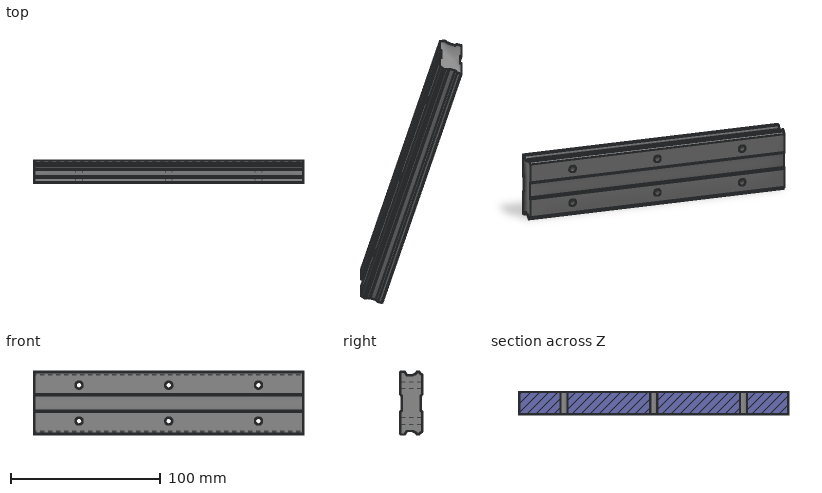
import cadquery as cq

length = 180.0
thickness = 15.0
height = 42.0
front_chamfer = 0.6

groove_depth = 1.0
groove_floor_width = 10.0
groove_mouth_width = groove_floor_width + 2 * groove_depth

relief_height = 2.2
relief_bevel = 0.65
relief_middle_end = 1.75
relief_middle_depth = 0.85
lip_start = 2.25

lip_end = 3.6
lip_bevel_end = 4.0
lip_bevel_depth = 0.5
cove_radius = 1.9
cove_end = 5.8
cove_depth = 1.7

channel_depth = 2.25
channel_floor_start = 6.5
channel_floor_end = 10.4
channel_wall_end = 11.9

hole_diameter = 4.5
hole_pitch = 60.0
holes_per_row = 3
row_spacing = 24.0

back = thickness / 2
top = height / 2
left_end = -length / 2


def section_point(from_back, depth, side):
    """Y-Z point measured from the back and from the upper (side = 1) or lower (side = -1) face."""
    return (back - from_back, side * (top - depth))


def make_bar():
    """Plain bar centred on the origin, with its front long edges chamfered."""
    bar = cq.Workplane("XY").box(length, thickness, height)
    return bar.edges("|X and <Y").chamfer(front_chamfer)


def make_relief(side):
    """Material removed from one long back edge."""
    return (
        cq.Workplane("YZ", origin=(left_end, 0, 0))
        .polyline([
            section_point(0, 0, side),
            section_point(0, relief_height, side),
            section_point(relief_bevel, relief_height - relief_bevel, side),
            section_point(relief_middle_end, relief_middle_depth, side),
            section_point(lip_start, 0, side),
        ])
        .close()
        .extrude(length)
    )


def make_channel(side):
    """Coved channel running along one narrow face."""
    return (
        cq.Workplane("YZ", origin=(left_end, 0, 0))
        .moveTo(*section_point(lip_end, 0, side))
        .lineTo(*section_point(lip_bevel_end, lip_bevel_depth, side))
        .radiusArc(section_point(cove_end, cove_depth, side), side * cove_radius)
        .lineTo(*section_point(channel_floor_start, channel_depth, side))
        .lineTo(*section_point(channel_floor_end, channel_depth, side))
        .lineTo(*section_point(channel_wall_end, 0, side))
        .close()
        .extrude(length)
    )


def make_groove(side):
    """Groove with bevelled sides in the back (side = 1) or front (side = -1) face."""
    face = side * back
    floor = side * (back - groove_depth)
    return (
        cq.Workplane("YZ", origin=(left_end, 0, 0))
        .polyline([
            (face, groove_mouth_width / 2),
            (floor, groove_floor_width / 2),
            (floor, -groove_floor_width / 2),
            (face, -groove_mouth_width / 2),
        ])
        .close()
        .extrude(length)
    )


def make_holes():
    """Cylinders for the through holes, running along Y."""
    return (
        cq.Workplane("XZ", origin=(0, back, 0))
        .rarray(hole_pitch, row_spacing, holes_per_row, 2)
        .circle(hole_diameter / 2)
        .extrude(thickness)
    )


result = make_bar()
for side in (1, -1):
    result = result.cut(make_relief(side))
    result = result.cut(make_channel(side))
    result = result.cut(make_groove(side))
result = result.cut(make_holes())